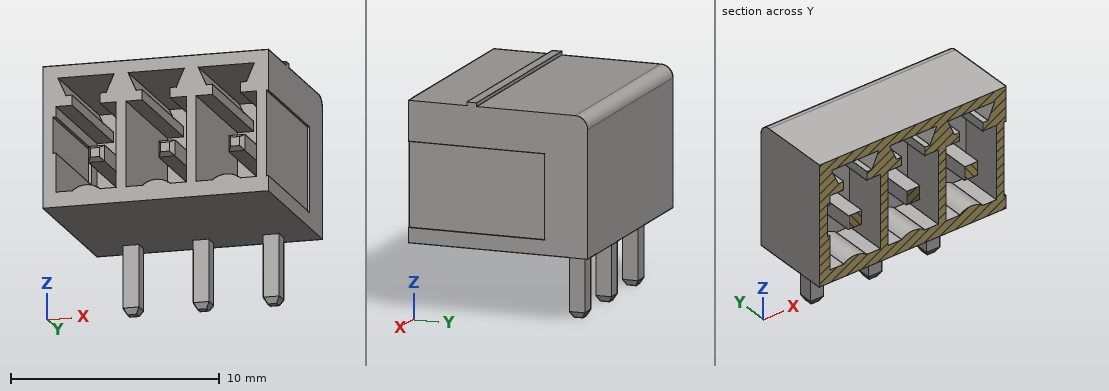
import cadquery as cq

POLES = 3
PITCH = 3.5
POLE_OFFSET = 0.028

WIDTH = 11.25
DEPTH = 9.2
HEIGHT = 7.02
BACK_EDGE_RADIUS = 0.63

RIB_FRONT = 3.0
RIB_LENGTH = 0.5
RIB_HEIGHT = 0.18

CAVITY_WIDTH = 3.0
CAVITY_FLOOR = 0.75
CAVITY_TOP = 5.0
CAVITY_DEPTH = 7.0
NECK_WIDTH = 1.4
NECK_TOP = 5.5
DOVETAIL_BOTTOM_WIDTH = 2.0
DOVETAIL_TOP_WIDTH = 2.8
DOVETAIL_TOP = 6.4
FLOOR_BUMP_WIDTH = 1.4
FLOOR_BUMP_HEIGHT = 0.25

GROOVE_DEPTH = 0.15
GROOVE_LENGTH = 6.0
GROOVE_BOTTOM = 2.69
GROOVE_TOP = 4.48

PIN_SIZE = 0.8
PIN_TIP_SIZE = 0.45
PIN_TIP_LENGTH = 0.3
PIN_AXIS_HEIGHT = 3.0
PIN_FRONT = 1.5
PIN_BELOW_HOUSING = 3.4
LEG_TO_BACK = 1.2

pole_positions = [POLE_OFFSET + (i - (POLES - 1) / 2) * PITCH for i in range(POLES)]
leg_axis = DEPTH - LEG_TO_BACK


def cavity_space(center_x):
    """Plug cavity with a dovetail keyway above it and a rounded bump along its floor."""
    half_cavity = CAVITY_WIDTH / 2
    half_neck = NECK_WIDTH / 2
    half_bump = FLOOR_BUMP_WIDTH / 2
    return (
        cq.Workplane("XZ", origin=(center_x, 0, 0))
        .moveTo(-half_cavity, CAVITY_FLOOR)
        .lineTo(-half_bump, CAVITY_FLOOR)
        .threePointArc((0, CAVITY_FLOOR + FLOOR_BUMP_HEIGHT), (half_bump, CAVITY_FLOOR))
        .lineTo(half_cavity, CAVITY_FLOOR)
        .lineTo(half_cavity, CAVITY_TOP)
        .lineTo(half_neck, CAVITY_TOP)
        .lineTo(half_neck, NECK_TOP)
        .lineTo(DOVETAIL_BOTTOM_WIDTH / 2, NECK_TOP)
        .lineTo(DOVETAIL_TOP_WIDTH / 2, DOVETAIL_TOP)
        .lineTo(-DOVETAIL_TOP_WIDTH / 2, DOVETAIL_TOP)
        .lineTo(-DOVETAIL_BOTTOM_WIDTH / 2, NECK_TOP)
        .lineTo(-half_neck, NECK_TOP)
        .lineTo(-half_neck, CAVITY_TOP)
        .lineTo(-half_cavity, CAVITY_TOP)
        .close()
        .extrude(-CAVITY_DEPTH)
    )


def groove_space():
    """Groove in the outer wall of the first cavity, open at the front and shorter than the cavity."""
    groove_left = pole_positions[0] - CAVITY_WIDTH / 2 - GROOVE_DEPTH
    return cq.Workplane("XY").box(
        GROOVE_DEPTH, GROOVE_LENGTH, GROOVE_TOP - GROOVE_BOTTOM, centered=False
    ).translate((groove_left, 0, GROOVE_BOTTOM))


def side_recess_space():
    """Shallow recess in the +X side, where a further cavity one pitch on would start."""
    recess_left = pole_positions[-1] + PITCH - CAVITY_WIDTH / 2
    return cq.Workplane("XY").box(
        WIDTH / 2 - recess_left, CAVITY_DEPTH, CAVITY_TOP - CAVITY_FLOOR, centered=False
    ).translate((recess_left, 0, CAVITY_FLOOR))


def make_pin(center_x):
    """Right-angle square pin with a tapered tip at both ends."""
    half_pin = PIN_SIZE / 2
    contact_start = PIN_FRONT + PIN_TIP_LENGTH
    leg_end = PIN_TIP_LENGTH - PIN_BELOW_HOUSING

    contact = cq.Workplane("XY").box(
        PIN_SIZE, leg_axis + half_pin - contact_start, PIN_SIZE, centered=(True, False, True)
    ).translate((center_x, contact_start, PIN_AXIS_HEIGHT))
    leg = cq.Workplane("XY").box(
        PIN_SIZE, PIN_SIZE, PIN_AXIS_HEIGHT + half_pin - leg_end, centered=(True, True, False)
    ).translate((center_x, leg_axis, leg_end))

    contact_tip = (
        cq.Workplane("XZ", origin=(center_x, contact_start, PIN_AXIS_HEIGHT))
        .rect(PIN_SIZE, PIN_SIZE)
        .workplane(offset=PIN_TIP_LENGTH)
        .rect(PIN_TIP_SIZE, PIN_TIP_SIZE)
        .loft(ruled=True)
    )
    leg_tip = (
        cq.Workplane("XY", origin=(center_x, leg_axis, leg_end))
        .rect(PIN_SIZE, PIN_SIZE)
        .workplane(offset=-PIN_TIP_LENGTH)
        .rect(PIN_TIP_SIZE, PIN_TIP_SIZE)
        .loft(ruled=True)
    )
    return contact.union(leg).union(contact_tip).union(leg_tip)


def make_housing(pins):
    """Housing block with its rib and cavities, and a close-fitting passage for each pin."""
    block = (
        cq.Workplane("XY")
        .box(WIDTH, DEPTH, HEIGHT, centered=(True, False, False))
        .edges(">Y and >Z")
        .fillet(BACK_EDGE_RADIUS)
    )
    rib = cq.Workplane("XY").box(
        WIDTH, RIB_LENGTH, RIB_HEIGHT, centered=(True, False, False)
    ).translate((0, RIB_FRONT, HEIGHT))
    body = block.union(rib)

    for center_x in pole_positions:
        body = body.cut(cavity_space(center_x))
    body = body.cut(groove_space()).cut(side_recess_space())

    for pin in pins:
        body = body.cut(pin)
    return body


pins = [make_pin(center_x) for center_x in pole_positions]
housing = make_housing(pins)

result = cq.Compound.makeCompound([housing.val(), *[pin.val() for pin in pins]])